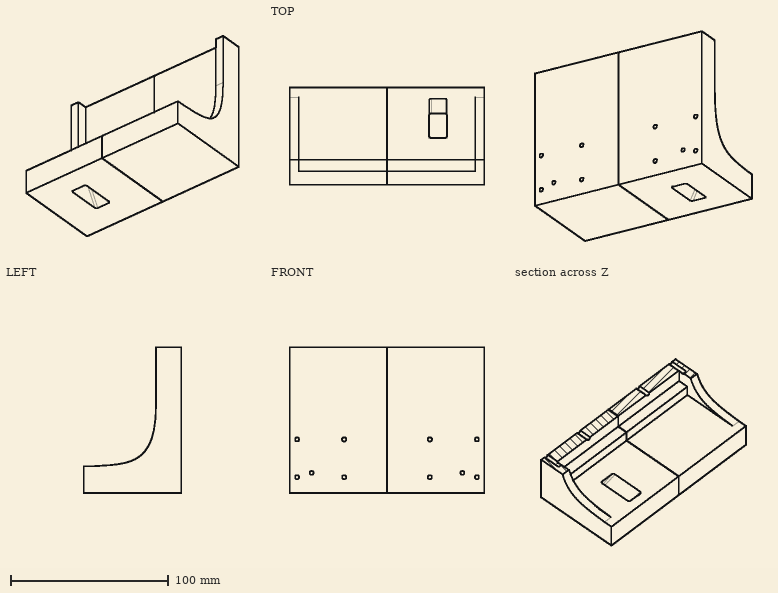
import cadquery as cq

total_width = 124.0
depth = 62.1
height = 93.0
seam_gap = 0.2

floor_height = 17.2
wall_thickness = 8.8
end_wall_thickness = 6.0
end_wall_depth = 16.1
ledge_height = 24.8

sweep_top = 57.0
sweep_end = 55.8
upright_handle = 38.5
toe_handle_y = 31.6
toe_handle_z = 18.6

hole_diameter = 2.6
inner_hole_x = 27.3
outer_hole_x = 57.3
upper_hole_z = 34.2
lower_hole_z = 10.2
peg_hole_x = 48.0
peg_hole_z = 12.9
peg_hole_diameter = 2.5
blind_depth = 12.4

slot_width = 11.4
slot_length = 24.9
slot_x = 32.5
slot_front_y = 30.0
slot_slant = 9.5
slot_corner_radius = 1.2

half_width = (total_width - seam_gap) / 2
seam_x = seam_gap / 2
end_x = total_width / 2


def make_interior_section():
    """Floor, stepped foot and back wall, extruded over half the width."""
    outline = [
        (0, 0),
        (depth, 0),
        (depth, floor_height),
        (end_wall_depth, floor_height),
        (end_wall_depth, ledge_height),
        (wall_thickness, ledge_height),
        (wall_thickness, height),
        (0, height),
    ]
    return cq.Workplane("YZ", origin=(seam_x, 0, 0)).polyline(outline).close().extrude(half_width)


def make_end_wall():
    """End wall whose inner corner is a concave sweep."""
    sweep = [
        (end_wall_depth, sweep_top),
        (end_wall_depth, sweep_top - upright_handle),
        (toe_handle_y, toe_handle_z),
        (sweep_end, floor_height),
    ]
    return (
        cq.Workplane("YZ", origin=(end_x - end_wall_thickness, 0, 0))
        .lineTo(0, height)
        .lineTo(end_wall_depth, height)
        .lineTo(*sweep[0])
        .bezier(sweep)
        .lineTo(sweep_end, 0)
        .close()
        .extrude(end_wall_thickness)
    )


def make_hole(x, z, diameter, hole_depth):
    """Round cutter running back from the front face."""
    return cq.Workplane("XZ", origin=(x, 0, z)).circle(diameter / 2).extrude(-hole_depth)


def cut_screw_holes(body):
    """Through hole in the wall, and blind holes in the end wall and floor."""
    body = body.cut(make_hole(inner_hole_x, upper_hole_z, hole_diameter, depth))
    blind_places = [
        (outer_hole_x, upper_hole_z),
        (inner_hole_x, lower_hole_z),
        (outer_hole_x, lower_hole_z),
    ]
    for x, z in blind_places:
        body = body.cut(make_hole(x, z, hole_diameter, blind_depth))
    return body.cut(make_hole(peg_hole_x, peg_hole_z, peg_hole_diameter, blind_depth))


def make_half():
    """Half bracket on the +X side of the seam."""
    return cut_screw_holes(make_interior_section().union(make_end_wall()))


def make_slot():
    """Slanted slot with rounded corners through the floor."""
    slot_slab = (
        cq.Workplane("YZ", origin=(slot_x - slot_width / 2, 0, 0))
        .polyline([
            (slot_front_y, floor_height),
            (slot_front_y + slot_length, floor_height),
            (slot_front_y + slot_length - slot_slant, 0),
            (slot_front_y - slot_slant, 0),
        ])
        .close()
        .extrude(slot_width)
    )
    slant_direction = cq.Vector(0, slot_slant, floor_height)
    long_edges = slot_slab.edges(cq.selectors.ParallelDirSelector(slant_direction))
    return long_edges.fillet(slot_corner_radius)


left_half = make_half().mirror("YZ")
right_half = make_half().cut(make_slot())

result = cq.Compound.makeCompound([left_half.val(), right_half.val()])